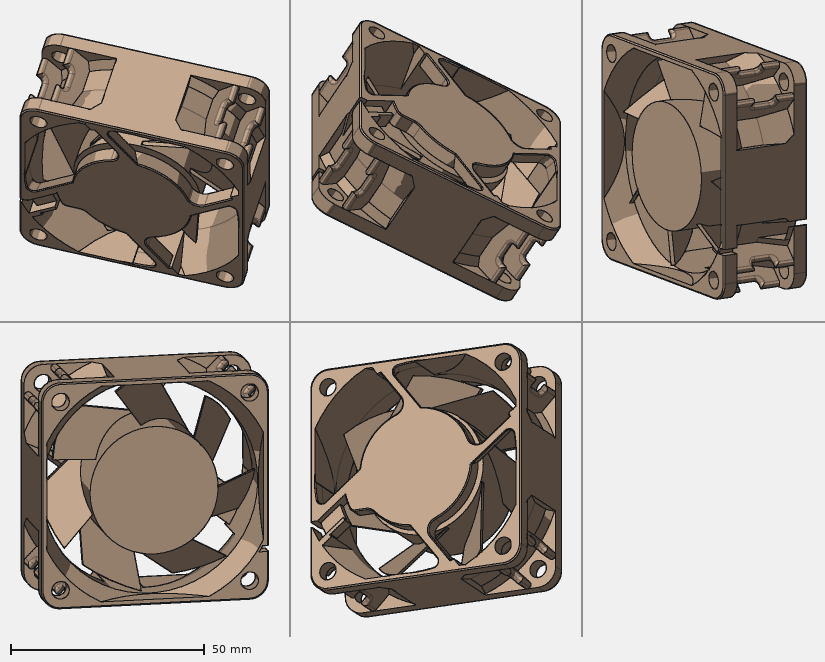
import cadquery as cq
import math

SIDE = 60.0
DEPTH = 25.4
FRONT_Y = -DEPTH / 2
BACK_Y = DEPTH / 2
CORNER_R = 5.0
RIM_CHAMFER = 0.35
FLANGE = 4.0
HOLE_SPACING = 50.0
HOLE_D = 4.6

THROAT_R = 28.5
MOUTH_R = 32.0
WALL = 1.5
DUCT_R = THROAT_R + WALL
THROAT_FRONT_Y = -0.35
THROAT_BACK_Y = 6.25
MOUTH_WIDTH = 57.25
POCKET_EDGE = 9.95

WEB_T = 2.05
WEB_OFFSET = 5.0
WEB_INNER = 29.1
WEB_ROUND = 0.499 * WEB_T
WEB_OUTER = (SIDE / 2 - WEB_T / 2) * math.sqrt(2) - WEB_OFFSET + WEB_T / 2
NOTCH_DEPTH = 2.5
NOTCH_WIDTH = 6.55
NOTCH_R = 1.0
EDGE_MARGIN = 0.05

GRILLE_T = 4.0
GRILLE_BACK_Y = FRONT_Y + GRILLE_T
GRILLE_R = 29.4
PLATE_R = 16.0
STRUT_NEAR = 8.6
STRUT_FAR = 11.1
STRUT_SLANT = 1.4
STRUT_ANGLE = 38.0
WINDOW_CHAMFER = 0.3
WINDOW_OUTER_R = 1.5
WINDOW_INNER_R = 2.9
FLARE_NEAR = 7.8
FLARE_START = 17.4

CABLE_QUARTER = 2
BOSS_R = 20.75
BOSS_BOTTOM_Z = -9.7
BOSS_OUTER_R = 1.8
BOSS_INNER_R = 3.0
SHELF_R = 23.35
SHELF_EDGE = 3.05
CHANNEL_EDGE = 4.0
CHANNEL_DEPTH = 2.0
CABLE_FLARE_NEAR = 2.35
EXIT_HEIGHT = 1.55
FRONT_EXIT_TOP_Z = -10.9
BACK_EXIT_TOP_Z = -15.9
BACK_EXIT_R = MOUTH_R + 0.6

HUB_R = 16.9
HUB_FRONT_Y = -7.5
HUB_BACK_Y = 11.4
BLADES = 7
BLADE_ANGLE = 150.0
TIP_R = 27.5
BLADE_T = 1.2
BLADE_ROOT_FRONT_Y = -7.2
BLADE_TIP_FRONT_Y = -5.75
BLADE_BACK_Y = 8.4
ROOT_PLANE = 13.2
TIP_PLANE = 28.8
ROOT_EDGES = (10.85, -2.4)
TIP_EDGES = (-1.25, -17.8)

AXIS = ((0, 0, 0), (0, 1, 0))


def face_at(y):
    """Sketch plane facing the front, at depth y: x is X, y is Z, and extruding goes to -Y."""
    return cq.Workplane("XZ", origin=(0, y, 0))


def turn(body, angle):
    """Turn about the fan axis, counterclockwise as seen from the front."""
    return body.rotate(*AXIS, -angle)


def block(x0, x1, y0, y1, z0, z1):
    return cq.Workplane("XY").box(x1 - x0, y1 - y0, z1 - z0, centered=False).translate((x0, y0, z0))


def disc(radius, y0, y1):
    return face_at(y1).circle(radius).extrude(y1 - y0)


def across(radius, offset):
    """Distance along a line at `offset` from the axis to a circle of `radius`."""
    return math.sqrt(radius**2 - offset**2)


def strut_angle(quarter):
    return STRUT_ANGLE + 90 * quarter


def duct_shape(extra):
    """Solid of the duct: throat and both flares, grown by `extra`."""
    throat_r = THROAT_R + extra
    mouth_r = MOUTH_R + extra
    outline = [
        (0, FRONT_Y),
        (mouth_r, FRONT_Y),
        (throat_r, THROAT_FRONT_Y),
        (throat_r, THROAT_BACK_Y),
        (mouth_r, BACK_Y),
        (0, BACK_Y),
    ]
    return cq.Workplane("XY").polyline(outline).close().revolve(360, (0, 0), (0, 1))


def make_block():
    body = face_at(BACK_Y).rect(SIDE, SIDE).extrude(DEPTH)
    body = body.edges("|Y").fillet(CORNER_R)
    return body.faces("<Y or >Y").chamfer(RIM_CHAMFER)


def corner_pockets():
    """Space between the flanges, outside the duct, at the four corners."""
    size = SIDE / 2
    corner = block(POCKET_EDGE, size, FRONT_Y + FLANGE, BACK_Y - FLANGE, POCKET_EDGE, size)
    corner = corner.cut(duct_shape(WALL))
    pockets = corner
    for quarter in range(1, 4):
        pockets = pockets.union(turn(corner, 90 * quarter))
    return pockets


def make_web():
    """One web along +X at z = 0, its outer end and notch fully rounded."""
    half = DEPTH / 2 - FLANGE
    web = block(WEB_INNER, WEB_OUTER, -half, half, -WEB_T / 2, WEB_T / 2)
    floor = WEB_OUTER - NOTCH_DEPTH
    notch = block(floor, WEB_OUTER, -NOTCH_WIDTH / 2, NOTCH_WIDTH / 2, -WEB_T, WEB_T)
    notch = notch.edges("<X and |Z").fillet(NOTCH_R)
    web = web.cut(notch)
    rounded = cq.selectors.BoxSelector(
        (floor - EDGE_MARGIN, EDGE_MARGIN - half, -WEB_T),
        (WEB_OUTER + EDGE_MARGIN, half - EDGE_MARGIN, WEB_T),
    )
    return web.edges(rounded).edges("#Z").fillet(WEB_ROUND)


def all_webs():
    webs = []
    for corner in range(4):
        for side in (-WEB_OFFSET, WEB_OFFSET):
            webs.append(turn(make_web().translate((0, 0, side)), 45 + 90 * corner))
    return webs


def corner_edge(x, z):
    """Selects the grille edge along Y nearest to (x, z)."""
    return cq.selectors.NearestToPointSelector((x, FRONT_Y + GRILLE_T / 2, z))


def make_window(cable):
    """Air window above a strut along +X; the next strut runs along +Z."""
    window = disc(THROAT_R, FRONT_Y, GRILLE_BACK_Y).cut(disc(PLATE_R, FRONT_Y, GRILLE_BACK_Y))
    sides = [
        (STRUT_FAR, FRONT_Y),
        (SIDE, FRONT_Y),
        (SIDE, GRILLE_BACK_Y),
        (STRUT_FAR - STRUT_SLANT, GRILLE_BACK_Y),
    ]
    space = cq.Workplane("XY", origin=(0, 0, -STRUT_NEAR)).polyline(sides).close().extrude(SIDE)
    window = window.intersect(space)
    middle = STRUT_FAR - STRUT_SLANT / 2
    window = window.edges(corner_edge(middle, across(THROAT_R, middle))).fillet(WINDOW_OUTER_R)
    if cable:
        return window.cut(cable_boss())
    return window.edges(corner_edge(across(PLATE_R, STRUT_NEAR), -STRUT_NEAR)).fillet(WINDOW_INNER_R)


def cable_boss():
    """Widened plate edge under the cable, turned to lie beside a strut along +X."""
    bottom = BOSS_BOTTOM_Z
    boss = disc(BOSS_R, FRONT_Y, GRILLE_BACK_Y)
    boss = boss.intersect(block(-SIDE, 0, FRONT_Y, GRILLE_BACK_Y, bottom, 0))
    boss = boss.edges(corner_edge(-across(BOSS_R, bottom), bottom)).fillet(BOSS_OUTER_R)
    boss = boss.union(disc(PLATE_R, FRONT_Y, GRILLE_BACK_Y))
    boss = boss.edges(corner_edge(-across(PLATE_R, bottom), bottom)).fillet(BOSS_INNER_R)
    return turn(boss, -strut_angle(CABLE_QUARTER))


def cable_shelf():
    """Floor of the cable channel, with the square strut edge beside it, along +X."""
    shelf = block(0, SIDE, FRONT_Y, GRILLE_BACK_Y, -STRUT_NEAR, -SHELF_EDGE)
    shelf = shelf.cut(disc(SHELF_R, FRONT_Y, GRILLE_BACK_Y))
    edge = block(PLATE_R, SIDE, FRONT_Y, GRILLE_BACK_Y, -STRUT_NEAR - WINDOW_CHAMFER, -STRUT_NEAR)
    return shelf.union(edge).intersect(disc(GRILLE_R, FRONT_Y, GRILLE_BACK_Y))


def make_grille():
    grille = disc(GRILLE_R, FRONT_Y, GRILLE_BACK_Y)
    for quarter in range(4):
        window = make_window(quarter == CABLE_QUARTER)
        grille = grille.cut(turn(window, strut_angle(quarter)))
    openings = grille.faces("<Y").val().innerWires()
    edges = [edge for wire in openings for edge in wire.Edges()]
    grille = grille.newObject(edges).chamfer(WINDOW_CHAMFER)
    return grille.union(turn(cable_shelf(), strut_angle(CABLE_QUARTER)))


def flare_shape(y_throat, y_mouth):
    """Ring between the throat and its flare towards a face, clipped to the mouth square."""
    outline = [(THROAT_R, y_throat), (MOUTH_R, y_mouth), (THROAT_R, y_mouth)]
    ring = cq.Workplane("XY").polyline(outline).close().revolve(360, (0, 0), (0, 1))
    half = MOUTH_WIDTH / 2
    return turn(ring, 45).intersect(block(-half, half, FRONT_Y, BACK_Y, -half, half))


def front_flares():
    """The four parts of the front flare, each beside one strut."""
    flares = []
    cone = flare_shape(THROAT_FRONT_Y, FRONT_Y)
    for quarter in range(4):
        near = CABLE_FLARE_NEAR if quarter == CABLE_QUARTER else FLARE_NEAR
        sector = block(FLARE_START, SIDE, FRONT_Y, THROAT_FRONT_Y, -near, SIDE / 2)
        flares.append(cone.intersect(turn(sector, strut_angle(quarter))))
    return flares


def throat():
    return disc(THROAT_R, GRILLE_BACK_Y, BACK_Y)


def exit_slot(top, y0, y1, radius):
    """Slot from the -X side through a flange, down to a circle about the fan axis."""
    slot = block(-SIDE / 2, -SIDE / 4, y0, y1, top - EXIT_HEIGHT, top)
    return slot.cut(disc(radius, y0, y1))


def cable_cuts():
    """Channel on the strut, the drop behind the front flange, and the exits through both flanges."""
    angle = strut_angle(CABLE_QUARTER)
    channel = block(0, DUCT_R, FRONT_Y, FRONT_Y + CHANNEL_DEPTH, -STRUT_NEAR, -CHANNEL_EDGE)
    channel = turn(channel.cut(disc(BOSS_R, FRONT_Y, BACK_Y)), angle)
    channel = channel.intersect(disc(DUCT_R, FRONT_Y, BACK_Y))
    drop = disc(MOUTH_R, FRONT_Y, THROAT_FRONT_Y).cut(disc(DUCT_R, FRONT_Y, THROAT_FRONT_Y))
    drop = drop.intersect(turn(block(0, SIDE, FRONT_Y, BACK_Y, -SIDE, -CHANNEL_EDGE), angle))
    drop = drop.intersect(block(-SIDE, 0, FRONT_Y, BACK_Y, -SIDE, FRONT_EXIT_TOP_Z))
    front_exit = exit_slot(FRONT_EXIT_TOP_Z, FRONT_Y, THROAT_FRONT_Y, DUCT_R)
    back_exit = exit_slot(BACK_EXIT_TOP_Z, BACK_Y - FLANGE, BACK_Y, BACK_EXIT_R)
    return [channel, drop, front_exit, back_exit]


def make_housing():
    body = make_block().cut(corner_pockets())
    for web in all_webs():
        body = body.union(web)
    body = body.cut(disc(GRILLE_R, FRONT_Y, GRILLE_BACK_Y)).union(make_grille())
    back_flare = flare_shape(THROAT_BACK_Y, BACK_Y)
    for cut in front_flares() + [back_flare, throat()] + cable_cuts():
        body = body.cut(cut)
    holes = face_at(BACK_Y).rect(HOLE_SPACING, HOLE_SPACING, forConstruction=True).vertices()
    return body.cut(holes.circle(HOLE_D / 2).extrude(DEPTH))


def blade_section(distance, edges, front_y):
    """Slanted blade section in the plane at `distance` along the blade."""
    front, back = edges
    outline = [
        (front_y, front),
        (front_y + BLADE_T, front),
        (BLADE_BACK_Y, back),
        (BLADE_BACK_Y - BLADE_T, back),
    ]
    return cq.Wire.makePolygon([cq.Vector(distance, y, z) for y, z in outline], close=True)


def make_blade():
    root = blade_section(ROOT_PLANE, ROOT_EDGES, BLADE_ROOT_FRONT_Y)
    tip = blade_section(TIP_PLANE, TIP_EDGES, BLADE_TIP_FRONT_Y)
    blade = cq.Workplane(cq.Solid.makeLoft([root, tip], True))
    return blade.intersect(disc(TIP_R, FRONT_Y, BACK_Y))


def make_impeller():
    impeller = disc(HUB_R, HUB_FRONT_Y, HUB_BACK_Y)
    for index in range(BLADES):
        impeller = impeller.union(turn(make_blade(), BLADE_ANGLE + index * 360 / BLADES))
    return impeller


housing = make_housing()
impeller = make_impeller()
result = cq.Compound.makeCompound([housing.val(), impeller.val()])